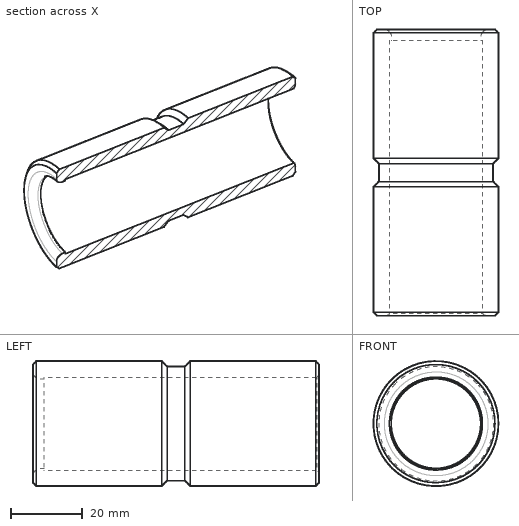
import cadquery as cq
import math

LENGTH = 80.0
OUTER_RADIUS = 17.5

BORE_RADIUS = 13.0
LIP_RADIUS = 12.5
LIP_LENGTH = 3.0

OUTER_CHAMFER = 1.0
MOUTH_FILLET = 2.0

GROOVE_FLOOR_WIDTH = 5.0
GROOVE_DEPTH = 1.5


def revolve_about_y(profile):
    """Turn a closed XY profile (X = radius) a full circle around the Y axis."""
    return profile.revolve(360, (0, 0, 0), (0, 1, 0))


def make_sleeve():
    """Tube with chamfered outer rims, rounded mouths and a +Y lip."""
    front = -LENGTH / 2
    back = LENGTH / 2
    lip_start = back - LIP_LENGTH
    rim_radius = OUTER_RADIUS - OUTER_CHAMFER
    mouth_radius = LIP_RADIUS + MOUTH_FILLET
    front_arc_depth = MOUTH_FILLET - math.sqrt(MOUTH_FILLET**2 - (mouth_radius - BORE_RADIUS)**2)
    profile = (
        cq.Workplane("XY")
        .moveTo(mouth_radius, front)
        .lineTo(rim_radius, front)
        .lineTo(OUTER_RADIUS, front + OUTER_CHAMFER)
        .lineTo(OUTER_RADIUS, back - OUTER_CHAMFER)
        .lineTo(rim_radius, back)
        .lineTo(mouth_radius, back)
        .radiusArc((LIP_RADIUS, back - MOUTH_FILLET), -MOUTH_FILLET)
        .lineTo(LIP_RADIUS, lip_start)
        .lineTo(BORE_RADIUS, lip_start)
        .lineTo(BORE_RADIUS, front + front_arc_depth)
        .radiusArc((mouth_radius, front), -MOUTH_FILLET)
        .close()
    )
    return revolve_about_y(profile)


def make_groove_cutter():
    """Ring that removes the central groove."""
    half_floor = GROOVE_FLOOR_WIDTH / 2
    half_mouth = half_floor + GROOVE_DEPTH
    floor_radius = OUTER_RADIUS - GROOVE_DEPTH
    profile = (
        cq.Workplane("XY")
        .moveTo(floor_radius, -half_floor)
        .lineTo(OUTER_RADIUS, -half_mouth)
        .lineTo(OUTER_RADIUS, half_mouth)
        .lineTo(floor_radius, half_floor)
        .close()
    )
    return revolve_about_y(profile)


result = make_sleeve().cut(make_groove_cutter())